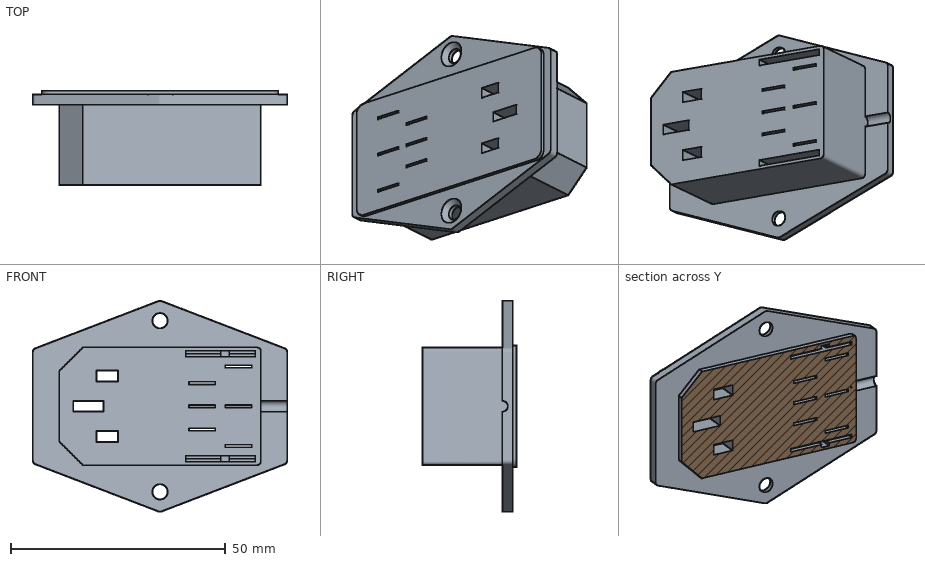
import cadquery as cq
import math

flange_width = 59.5
flange_height = 49.3
flange_thickness = 2.45
flange_side_height = 26.65
flange_corner_radius = 1.0

rear_plate_width = 55.35
rear_plate_height = 28.45
rear_plate_thickness = 0.9
rear_plate_corner_radius = 2.0

housing_width = 47.1
housing_height = 27.5
housing_depth = 18.75
housing_chamfer = 5.55
housing_corner_radius = 0.9

screw_hole_diameter = 3.5
screw_hole_spacing = 40.0
countersink_depth = 1.25

groove_diameter = 2.5

earth_pin_x = -16.7
earth_pin_size = (7.0, 2.4)
power_pin_x = -12.3
power_pin_size = (5.0, 2.5)
power_pin_spacing = 14.15

slot_thickness = 0.55
inner_slot_x = 9.8
inner_slot_length = 6.05
inner_slot_pitch = 5.4
outer_slot_x = 18.3
outer_slot_length = 6.1
outer_slot_pitch = 9.3

latch_x = 14.15
latch_z = 12.25
latch_length = 16.3
latch_height = 1.4
latch_outer_half_depth = 16.25
latch_inner_half_depth = 18.75
latch_pocket_x = 15.25
latch_pocket_width = 1.95
latch_pocket_depth = 20.25

total_depth = housing_depth + flange_thickness + rear_plate_thickness
flange_front = housing_depth
rear_plate_front = flange_front + flange_thickness


def block(x, z, length, height, y_start, depth):
    """Box centred on (x, z) that runs toward +Y from y_start."""
    return cq.Workplane("XY").box(length, depth, height).translate((x, y_start + depth / 2, z))


def make_flange():
    half_width = flange_width / 2
    half_side = flange_side_height / 2
    slope = math.atan2(flange_height / 2 - half_side, half_width)
    rounding_loss = flange_corner_radius * (1 / math.cos(slope) - 1)
    peak = flange_height / 2 + rounding_loss
    outline = [
        (0, peak),
        (half_width, half_side),
        (half_width, -half_side),
        (0, -peak),
        (-half_width, -half_side),
        (-half_width, half_side),
    ]
    flange = cq.Workplane("XZ").polyline(outline).close().extrude(-flange_thickness)
    return flange.edges("|Y").fillet(flange_corner_radius).translate((0, flange_front, 0))


def make_rear_plate():
    plate = block(0, 0, rear_plate_width, rear_plate_height, rear_plate_front, rear_plate_thickness)
    return plate.edges("|Y").fillet(rear_plate_corner_radius)


def make_housing():
    housing = block(0, 0, housing_width, housing_height, 0, housing_depth)
    housing = housing.edges("|Y and <X").chamfer(housing_chamfer)
    return housing.edges("|Y and >X").fillet(housing_corner_radius)


def make_screw_hole(z):
    """Through hole in the flange, countersunk from the rear."""
    radius = screw_hole_diameter / 2
    outer_radius = radius + countersink_depth
    cone_front = rear_plate_front - countersink_depth
    profile = [
        (0, flange_front),
        (radius, flange_front),
        (radius, cone_front),
        (outer_radius, rear_plate_front),
        (0, rear_plate_front),
    ]
    section = cq.Workplane("XY").polyline(profile).close()
    return section.revolve(360, (0, 0), (0, 1)).translate((0, 0, z))


def make_side_groove():
    """Half-round groove across the flange face, from the housing to the +X edge."""
    groove = cq.Workplane("YZ").center(flange_front, 0).circle(groove_diameter / 2)
    groove = groove.extrude(flange_width / 2)
    return groove.cut(block(0, 0, housing_width, housing_height, 0, total_depth))


def make_terminal_openings():
    """Pin openings and blade slots that run through the whole depth."""
    openings = [block(earth_pin_x, 0, *earth_pin_size, 0, total_depth)]
    for side in (-1, 1):
        power_z = side * power_pin_spacing / 2
        openings.append(block(power_pin_x, power_z, *power_pin_size, 0, total_depth))
    for row in (-1, 0, 1):
        inner_z = row * inner_slot_pitch
        outer_z = row * outer_slot_pitch
        openings.append(block(inner_slot_x, inner_z, inner_slot_length, slot_thickness, 0, total_depth))
        openings.append(block(outer_slot_x, outer_z, outer_slot_length, slot_thickness, 0, total_depth))
    return openings


def make_latch_channel(side):
    """Blind channel, deeper along its half nearer the middle, with a still deeper pocket across it."""
    z = side * latch_z
    inner_half_z = z - side * latch_height / 4
    channel = block(latch_x, z, latch_length, latch_height, 0, latch_outer_half_depth)
    inner_half = block(latch_x, inner_half_z, latch_length, latch_height / 2, 0, latch_inner_half_depth)
    pocket = block(latch_pocket_x, z, latch_pocket_width, latch_height, 0, latch_pocket_depth)
    return channel.union(inner_half).union(pocket)


result = make_housing().union(make_flange()).union(make_rear_plate())
result = result.cut(make_side_groove())
for opening in make_terminal_openings():
    result = result.cut(opening)
for side in (-1, 1):
    result = result.cut(make_screw_hole(side * screw_hole_spacing / 2))
    result = result.cut(make_latch_channel(side))

result = result.translate((0, -total_depth / 2, 0))